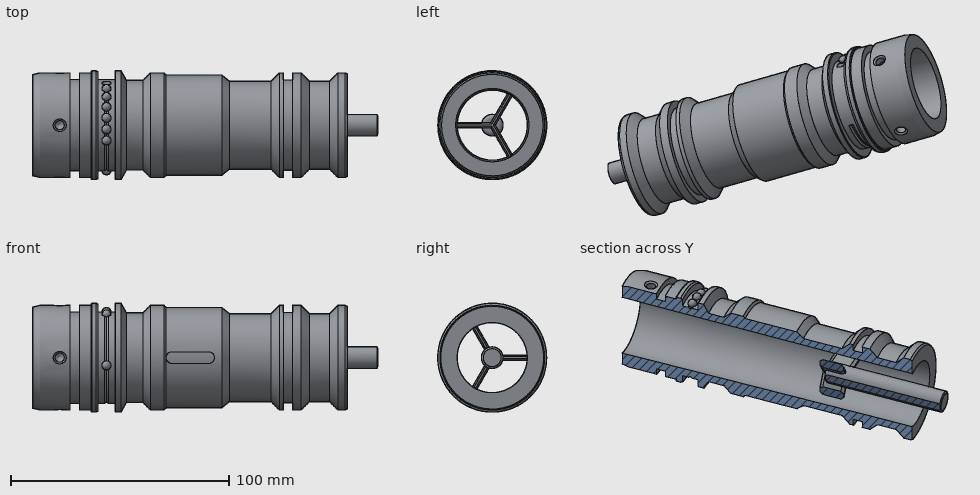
import cadquery as cq
import math

X_AXIS = ((0, 0, 0), (1, 0, 0))

cut_margin = 1.0

body_radius = 24.0
flange_radius = 25.0
flange_edge_radius = 24.5
front_edge_radius = 23.2
sleeve_radius = 23.0
front_seal_radius = 21.0
rear_seal_radius = 20.75
scale_radius = 21.0
front_neck_radius = 20.6
rear_neck_radius = 20.2
rear_edge_radius = 23.5
bore_front_radius = 16.8
bore_rear_radius = 16.0

housing_length = 144.0
front_taper_length = 3.4
seal_groove_width = 4.3
front_seal_x = 17.1
flange_edge = 0.4
front_flange_x = 26.7
front_flange_crest_end_x = 29.0
scale_start_x = 30.0
scale_end_x = 37.6
second_flange_crest_end_x = 40.5
front_neck_start_x = 42.9
front_neck_end_x = 50.5
front_collar_x = front_neck_end_x + body_radius - front_neck_radius
sleeve_start_x = 61.1
sleeve_shoulder = body_radius - sleeve_radius
sleeve_end_x = 86.6
rear_neck_start_x = 90.0
rear_collar_x = 112.9
rear_neck_end_x = rear_collar_x - (body_radius - rear_neck_radius)
rear_seal_x = 114.7
split_collar_end_x = 122.9
last_neck_start_x = split_collar_end_x + body_radius - rear_neck_radius
end_flange_x = 139.7
last_neck_end_x = end_flange_x - (body_radius - rear_neck_radius)
rear_chamfer_length = 1.0

screw_count = 4
screw_x = 12.4
screw_radius = 2.1
screw_rim_radius = 3.0
screw_depth = 4.0
screw_tip_angle = 118.0

scale_x = (scale_start_x + scale_end_x) / 2
v_groove_width = 2.0
v_groove_depth = 0.6
v_groove_sweep = 270.0
dimple_radius = 2.1
dimple_count = 7
dimple_pitch = 14.4
first_dimple_angle = -19.6
single_dimple_angle = -99.7
last_dimple_angle = first_dimple_angle + (dimple_count - 1) * dimple_pitch

insert_width = 5.3
insert_length = 22.1
insert_depth = 2.0

shaft_radius = 5.0
shaft_end_x = 158.0
shaft_end_chamfer = (0.9, 0.4)
nose_x = 100.0
nose_rounding = 2.0
spoke_count = 3
spoke_thickness = 2.4
spoke_edge_thickness = 0.9
spoke_edge_length = 1.5
spoke_length = 12.0
spoke_lead = 2.0


def revolve_about_x(points):
    """Solid of revolution about X from (x, radius) points closed along the axis."""
    outline = [(points[0][0], 0)] + points + [(points[-1][0], 0)]
    return cq.Workplane("XY").polyline(outline).close().revolve(360, *X_AXIS)


def turn_about_x(shape, angle):
    """Turn a shape about X so that what points to +Z leans toward +Y by angle."""
    return shape.rotate(*X_AXIS, -angle)


def housing_blank():
    front_seal_end = front_seal_x + seal_groove_width
    rear_seal_end = rear_seal_x + seal_groove_width
    return revolve_about_x([
        (0, front_edge_radius),
        (front_taper_length, body_radius),
        (front_seal_x, body_radius),
        (front_seal_x, front_seal_radius),
        (front_seal_end, front_seal_radius),
        (front_seal_end, body_radius),
        (front_flange_x, body_radius),
        (front_flange_x, flange_radius - flange_edge),
        (front_flange_x + flange_edge, flange_radius),
        (front_flange_crest_end_x, flange_radius),
        (scale_start_x, flange_edge_radius),
        (scale_start_x, scale_radius),
        (scale_end_x, scale_radius),
        (scale_end_x, flange_radius - flange_edge),
        (scale_end_x + flange_edge, flange_radius),
        (second_flange_crest_end_x, flange_radius),
        (front_neck_start_x, front_neck_radius),
        (front_neck_end_x, front_neck_radius),
        (front_collar_x, body_radius),
        (sleeve_start_x - sleeve_shoulder, body_radius),
        (sleeve_start_x, sleeve_radius),
        (sleeve_end_x, sleeve_radius),
        (rear_neck_start_x, rear_neck_radius),
        (rear_neck_end_x, rear_neck_radius),
        (rear_collar_x, body_radius),
        (rear_seal_x, body_radius),
        (rear_seal_x, rear_seal_radius),
        (rear_seal_end, rear_seal_radius),
        (rear_seal_end, body_radius),
        (split_collar_end_x, body_radius),
        (last_neck_start_x, rear_neck_radius),
        (last_neck_end_x, rear_neck_radius),
        (end_flange_x, body_radius),
        (housing_length - rear_chamfer_length, body_radius),
        (housing_length, rear_edge_radius),
    ])


def bore():
    """Slightly tapered through bore."""
    return revolve_about_x([(0, bore_front_radius), (housing_length, bore_rear_radius)])


def screw_hole():
    """Blind hole from +Z with a countersunk rim and a drill-point bottom."""
    rim_depth = screw_rim_radius - screw_radius
    tip_depth = screw_radius / math.tan(math.radians(screw_tip_angle / 2))
    floor = body_radius - screw_depth
    profile = [
        (0, body_radius + cut_margin),
        (screw_rim_radius, body_radius + cut_margin),
        (screw_rim_radius, body_radius),
        (screw_radius, body_radius - rim_depth),
        (screw_radius, floor),
        (0, floor - tip_depth),
    ]
    hole = cq.Workplane("XZ").polyline(profile).close().revolve(360, (0, 0, 0), (0, 1, 0))
    return hole.translate((screw_x, 0, 0))


def dimple(angle):
    ball = cq.Workplane("XY").sphere(dimple_radius).rotate((0, 0, 0), (0, 1, 0), 90)
    return turn_about_x(ball.translate((scale_x, 0, scale_radius)), angle)


def v_groove():
    """V groove that starts at the last dimple and runs past the single one."""
    half = v_groove_width / 2
    slope = v_groove_depth / half
    profile = [
        (scale_x - 2 * half, scale_radius + slope * half),
        (scale_x, scale_radius - v_groove_depth),
        (scale_x + 2 * half, scale_radius + slope * half),
    ]
    arc = cq.Workplane("XZ").polyline(profile).close().revolve(v_groove_sweep, *X_AXIS)
    return turn_about_x(arc, last_dimple_angle)


def insert():
    """Round-ended insert on the -Y side, its outer face flush with the sleeve."""
    block = (
        cq.Workplane("XZ", origin=(sleeve_start_x + insert_length / 2, 0, 0))
        .slot2D(insert_length, insert_width)
        .extrude(sleeve_radius + cut_margin)
    )
    tube = (
        cq.Workplane("YZ", origin=(sleeve_start_x, 0, 0))
        .circle(sleeve_radius)
        .circle(sleeve_radius - insert_depth)
        .extrude(sleeve_end_x - sleeve_start_x)
    )
    return block.intersect(tube)


def spoke():
    """Flat spoke toward +Y with tapered leading and trailing edges."""
    start = nose_x - spoke_lead
    end = start + spoke_length
    half = spoke_thickness / 2
    half_edge = spoke_edge_thickness / 2
    profile = [
        (start, -half_edge),
        (start, half_edge),
        (start + spoke_edge_length, half),
        (end - spoke_edge_length, half),
        (end, half_edge),
        (end, -half_edge),
        (end - spoke_edge_length, -half),
        (start + spoke_edge_length, -half),
    ]
    return cq.Workplane("XZ").polyline(profile).close().extrude(-bore_front_radius)


def build_shaft():
    """Shaft with a rounded nose, held in the bore by its spokes."""
    chamfer_length, chamfer_height = shaft_end_chamfer
    shaft = (
        cq.Workplane("YZ", origin=(nose_x, 0, 0))
        .circle(shaft_radius)
        .extrude(shaft_end_x - nose_x)
        .faces("<X").edges().fillet(nose_rounding)
        .faces(">X").edges().chamfer(chamfer_height, chamfer_length)
    )
    spokes = spoke()
    for index in range(1, spoke_count):
        spokes = spokes.union(spoke().rotate(*X_AXIS, index * 360 / spoke_count))
    return shaft.union(spokes.intersect(bore()))


def build_housing():
    body = housing_blank().cut(bore())
    for index in range(screw_count):
        body = body.cut(turn_about_x(screw_hole(), index * 360 / screw_count))
    body = body.cut(v_groove())
    for index in range(dimple_count):
        body = body.cut(dimple(first_dimple_angle + index * dimple_pitch))
    body = body.cut(dimple(single_dimple_angle))
    return body.cut(insert())


housing = build_housing()
sleeve_insert = insert()
shaft = build_shaft()

result = cq.Compound.makeCompound([housing.val(), sleeve_insert.val(), shaft.val()])